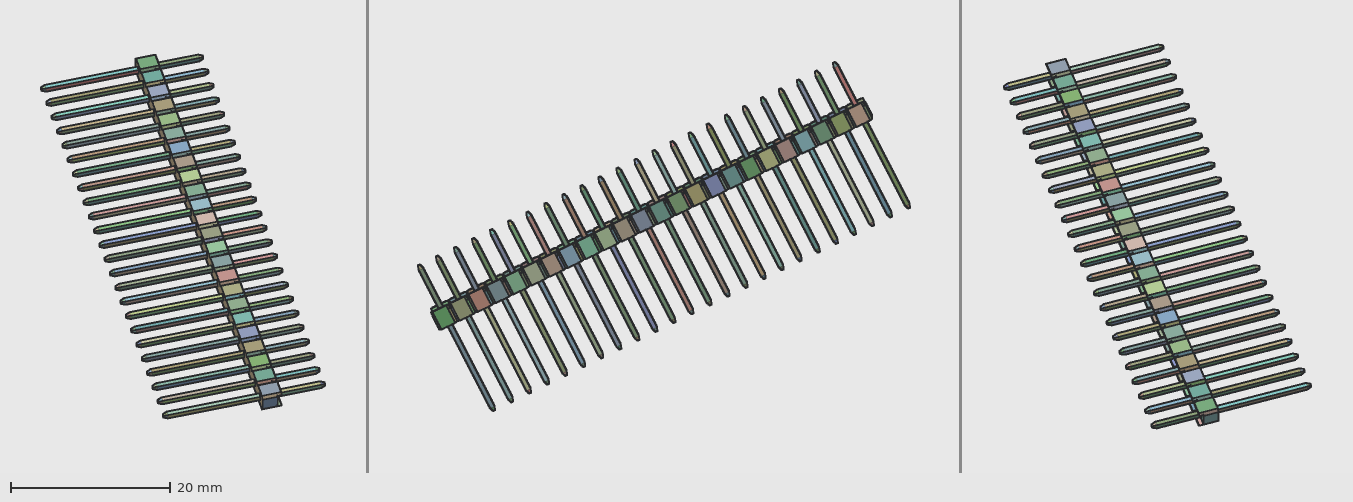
import cadquery as cq

PIN_COUNT = 24
LENGTH = 60.95
PITCH = LENGTH / PIN_COUNT
HEIGHT = 2.5
BODY_DEPTH = PITCH

CHAMFER_X = 0.3
CHAMFER_Z = 0.395

CHANNEL_DEPTH = 0.57
LIP_THICKNESS = 0.3

PIN_HALF_SIZE = 0.32
PIN_SIZE = 2 * PIN_HALF_SIZE
PIN_LENGTH = 21.1
PIN_REACH_BACK = 6.5
PIN_OFFSET_X = -0.105
TIP_LENGTH = 0.55
TIP_SIZE = 0.3

BODY_BACK = BODY_DEPTH / 2
CHANNEL_FLOOR = BODY_BACK - CHANNEL_DEPTH
PIN_BACK = CHANNEL_FLOOR + PIN_REACH_BACK
PIN_FRONT = PIN_BACK - PIN_LENGTH


def block_left(index):
    """X of the left side of a block, counted from the -X end."""
    return -LENGTH / 2 + index * PITCH


def body_outline():
    """Points of the XZ outline: the chamfered top edge, then its mirror image below."""
    half_height = HEIGHT / 2
    shoulder = half_height - CHAMFER_Z
    top = [(block_left(0), shoulder)]
    for index in range(PIN_COUNT):
        left = block_left(index)
        right = left + PITCH
        top.append((left + CHAMFER_X, half_height))
        top.append((right - CHAMFER_X, half_height))
        top.append((right, shoulder))
    bottom = [(x, -z) for x, z in reversed(top)]
    return top + bottom


def make_body():
    """Row of blocks with the channel cut along the +Y face."""
    blocks = (
        cq.Workplane("XZ", origin=(0, BODY_BACK, 0))
        .polyline(body_outline())
        .close()
        .extrude(BODY_DEPTH)
    )
    channel = (
        cq.Workplane("XZ", origin=(0, BODY_BACK, 0))
        .rect(LENGTH, HEIGHT - 2 * LIP_THICKNESS)
        .extrude(CHANNEL_DEPTH)
    )
    return blocks.cut(channel)


def make_tip(start_y, direction):
    """Square taper from the pin shank at start_y toward +Y (1) or -Y (-1)."""
    plane = cq.Plane(origin=(0, start_y, 0), xDir=(1, 0, 0), normal=(0, direction, 0))
    return (
        cq.Workplane(plane)
        .rect(PIN_SIZE, PIN_SIZE)
        .workplane(offset=TIP_LENGTH)
        .rect(TIP_SIZE, TIP_SIZE)
        .loft(ruled=True)
    )


def make_pin():
    """Pin on the X = 0 plane: a square shank with a tapered tip at each end."""
    shank_back = PIN_BACK - TIP_LENGTH
    shank_front = PIN_FRONT + TIP_LENGTH
    shank = (
        cq.Workplane("XZ", origin=(0, shank_back, 0))
        .rect(PIN_SIZE, PIN_SIZE)
        .extrude(shank_back - shank_front)
    )
    return shank.union(make_tip(shank_back, 1)).union(make_tip(shank_front, -1))


pin = make_pin()
result = make_body()
for index in range(PIN_COUNT):
    pin_x = block_left(index) + PITCH / 2 + PIN_OFFSET_X
    result = result.union(pin.translate((pin_x, 0, 0)))